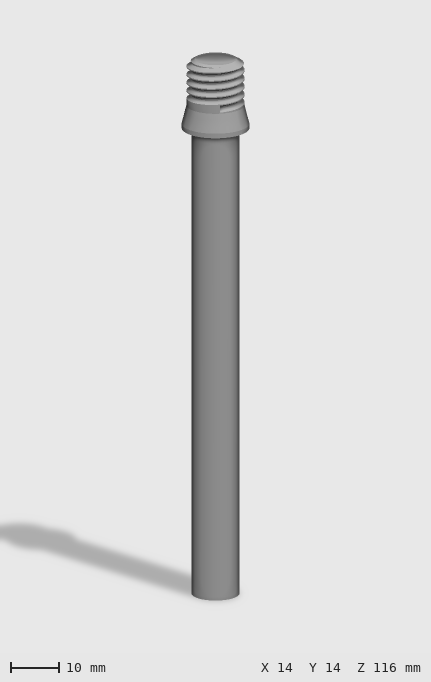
import cadquery as cq
import math

total_length = 116.0
head_length = 15.0
threaded_length = 10.0
rim_thickness = 1.0

rim_bottom = total_length - head_length
rim_top = rim_bottom + rim_thickness
collar_top = total_length - threaded_length

shaft_radius = 5.0
rim_radius = 7.0
major_radius = 6.0

tip_radius = 4.3
tip_chamfer_angle = 30.0
tip_chamfer_height = (major_radius - tip_radius) * math.tan(math.radians(tip_chamfer_angle))

pitch = 1.75
flank_angle = 30.0
depth_per_pitch = 0.6134
thread_depth = depth_per_pitch * pitch
crest_width = pitch / 8
groove_start_gap = 1.0
groove_start_height = collar_top + groove_start_gap
groove_start_angle = -30.0
groove_overrun = pitch
cutter_clearance = 0.1


def make_body():
    """Revolved shaft, tapered collar and threaded-end blank."""
    return (
        cq.Workplane("YZ")
        .moveTo(0, 0)
        .lineTo(shaft_radius, 0)
        .lineTo(shaft_radius, rim_bottom)
        .lineTo(rim_radius, rim_bottom)
        .lineTo(rim_radius, rim_top)
        .lineTo(major_radius, collar_top)
        .lineTo(major_radius, total_length - tip_chamfer_height)
        .lineTo(tip_radius, total_length)
        .lineTo(0, total_length)
        .close()
        .revolve(360, (0, 0, 0), (0, 1, 0))
    )


def make_thread_groove():
    """Helical V-groove with a flat root, starting just before the +X side and leaving through the end face."""
    flank_slope = math.tan(math.radians(flank_angle))
    minor_radius = major_radius - thread_depth
    outer_radius = major_radius + cutter_clearance
    crest_half_width = (pitch - crest_width) / 2
    root_half_width = crest_half_width - thread_depth * flank_slope
    outer_half_width = crest_half_width + cutter_clearance * flank_slope

    helix_height = total_length + groove_overrun - groove_start_height
    helix = cq.Wire.makeHelix(pitch, helix_height, major_radius)
    groove = (
        cq.Workplane("XZ")
        .moveTo(minor_radius, -root_half_width)
        .lineTo(outer_radius, -outer_half_width)
        .lineTo(outer_radius, outer_half_width)
        .lineTo(minor_radius, root_half_width)
        .close()
        .sweep(cq.Workplane(obj=helix), isFrenet=True)
    )
    groove = groove.rotate((0, 0, 0), (0, 0, 1), groove_start_angle)
    return groove.translate((0, 0, groove_start_height))


result = make_body().cut(make_thread_groove())